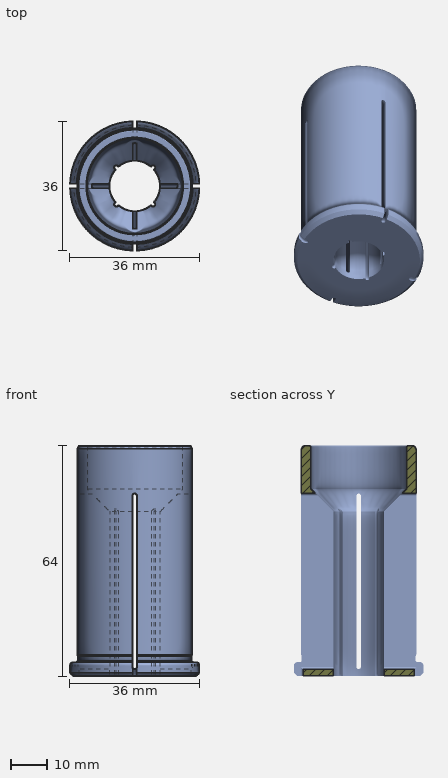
import cadquery as cq

LENGTH = 64.0
BODY_RADIUS = 16.0
TOP_CHAMFER_WIDTH = 0.4
TOP_CHAMFER_HEIGHT = 0.8
TOP_EDGE_BREAK_WIDTH = 0.4
TOP_EDGE_BREAK_HEIGHT = 0.1

COLLAR_RADIUS = 18.0
COLLAR_HEIGHT = 3.9
COLLAR_TOP_FILLET = 0.95
COLLAR_BOTTOM_CHAMFER = 1.0

UNDERCUT_RADIUS = 15.84
UNDERCUT_TOP = 6.0
UNDERCUT_UPPER_TAPER = 0.4
UNDERCUT_LOWER_TAPER = 0.35

UPPER_BORE_RADIUS = 26.5 / 2
UPPER_BORE_DEPTH = 12.0
UPPER_BORE_CHAMFER = 0.25
LOWER_BORE_RADIUS = 7.0

SLOT_COUNT = 4
SLOT_WIDTH = 1.2
SLOT_BOTTOM = 2.0
SLOT_TOP = 50.7

GROOVE_FLOOR_RADIUS = 15.5

RELIEF_RADIUS = 0.6
RELIEF_CIRCLE_RADIUS = 7.2


def make_outside():
    """Turned outside shape, drawn as a half section in the XZ plane."""
    break_bottom = LENGTH - TOP_EDGE_BREAK_HEIGHT
    break_outer_radius = BODY_RADIUS - TOP_CHAMFER_WIDTH
    lower_taper_radius = UNDERCUT_RADIUS + UNDERCUT_LOWER_TAPER
    return (
        cq.Workplane("XZ")
        .moveTo(0, 0)
        .lineTo(COLLAR_RADIUS - COLLAR_BOTTOM_CHAMFER, 0)
        .lineTo(COLLAR_RADIUS, COLLAR_BOTTOM_CHAMFER)
        .lineTo(COLLAR_RADIUS, COLLAR_HEIGHT - COLLAR_TOP_FILLET)
        .tangentArcPoint((-COLLAR_TOP_FILLET, COLLAR_TOP_FILLET))
        .lineTo(lower_taper_radius, COLLAR_HEIGHT)
        .lineTo(UNDERCUT_RADIUS, COLLAR_HEIGHT + UNDERCUT_LOWER_TAPER)
        .lineTo(UNDERCUT_RADIUS, UNDERCUT_TOP - UNDERCUT_UPPER_TAPER)
        .lineTo(BODY_RADIUS, UNDERCUT_TOP)
        .lineTo(BODY_RADIUS, break_bottom - TOP_CHAMFER_HEIGHT)
        .lineTo(break_outer_radius, break_bottom)
        .lineTo(break_outer_radius - TOP_EDGE_BREAK_WIDTH, LENGTH)
        .lineTo(0, LENGTH)
        .close()
        .revolve(360, (0, 0, 0), (0, 1, 0))
    )


def make_bore():
    """Turned bore, drawn as a half section in the XZ plane."""
    cone_top = LENGTH - UPPER_BORE_DEPTH
    cone_bottom = cone_top - (UPPER_BORE_RADIUS - LOWER_BORE_RADIUS)
    return (
        cq.Workplane("XZ")
        .moveTo(0, 0)
        .lineTo(LOWER_BORE_RADIUS, 0)
        .lineTo(LOWER_BORE_RADIUS, cone_bottom)
        .lineTo(UPPER_BORE_RADIUS, cone_top)
        .lineTo(UPPER_BORE_RADIUS, LENGTH - UPPER_BORE_CHAMFER)
        .lineTo(UPPER_BORE_RADIUS + UPPER_BORE_CHAMFER, LENGTH)
        .lineTo(0, LENGTH)
        .close()
        .revolve(360, (0, 0, 0), (0, 1, 0))
    )


def make_slot():
    """Round-ended slot through the wall on the +X side."""
    return (
        cq.Workplane("YZ")
        .center(0, (SLOT_BOTTOM + SLOT_TOP) / 2)
        .slot2D(SLOT_TOP - SLOT_BOTTOM, SLOT_WIDTH, 90)
        .extrude(COLLAR_RADIUS)
    )


def make_collar_groove():
    """Vertical groove with a round floor, open to the outside of the collar on the +X side."""
    length = 2 * (COLLAR_RADIUS - GROOVE_FLOOR_RADIUS)
    return (
        cq.Workplane("XY")
        .center(GROOVE_FLOOR_RADIUS + length / 2, 0)
        .slot2D(length, SLOT_WIDTH)
        .extrude(COLLAR_HEIGHT)
    )


def make_relief_hole():
    """Relief hole on the +X side, running the full length of the lower bore."""
    return cq.Workplane("XY").center(RELIEF_CIRCLE_RADIUS, 0).circle(RELIEF_RADIUS).extrude(LENGTH)


result = make_outside().cut(make_bore())
slot_step = 360 / SLOT_COUNT
axis_start = (0, 0, 0)
axis_end = (0, 0, 1)
for index in range(SLOT_COUNT):
    slot_angle = index * slot_step
    relief_angle = slot_angle + slot_step / 2
    result = result.cut(make_slot().rotate(axis_start, axis_end, slot_angle))
    result = result.cut(make_collar_groove().rotate(axis_start, axis_end, slot_angle))
    result = result.cut(make_relief_hole().rotate(axis_start, axis_end, relief_angle))